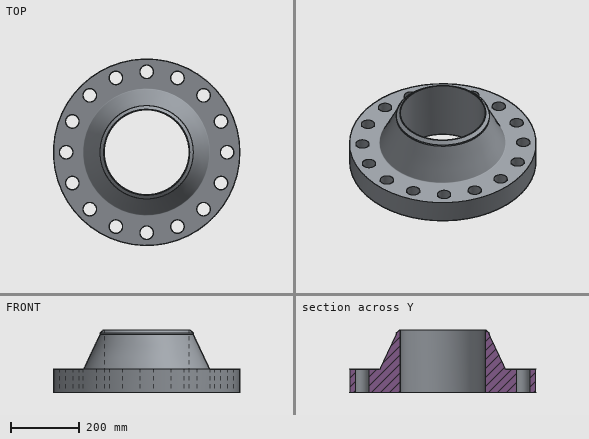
import cadquery as cq

flange_diameter = 546.0
flange_thickness = 69.5
overall_height = 184.0

bore_diameter = 248.0
neck_diameter = 273.0
neck_face_diameter = 252.0
bevel_height = 9.0
neck_band_height = 5.0

cone_base_diameter = 368.5
cone_foot_radius = 3.0

bolt_count = 16
bolt_circle_diameter = 470.5
bolt_hole_diameter = 39.0


def flange_body():
    """Revolve the half section of plate, cone, neck and bore about Z."""
    band_top = overall_height - bevel_height
    band_bottom = band_top - neck_band_height
    half_section = [
        (bore_diameter / 2, 0),
        (flange_diameter / 2, 0),
        (flange_diameter / 2, flange_thickness),
        (cone_base_diameter / 2, flange_thickness),
        (neck_diameter / 2, band_bottom),
        (neck_diameter / 2, band_top),
        (neck_face_diameter / 2, overall_height),
        (bore_diameter / 2, overall_height),
    ]
    return cq.Workplane("XZ").polyline(half_section).close().revolve(360, (0, 0), (0, 1))


def round_cone_foot(body):
    """Fillet the inner corner where the cone meets the plate."""
    plate_top = body.faces("+Z").faces("<Z")
    return plate_top.edges("%CIRCLE").edges(cq.selectors.RadiusNthSelector(0)).fillet(cone_foot_radius)


def bolt_holes():
    """Through cutters for the bolts, the first one on the +X axis."""
    return (
        cq.Workplane("XY")
        .polarArray(bolt_circle_diameter / 2, 0, 360, bolt_count)
        .circle(bolt_hole_diameter / 2)
        .extrude(flange_thickness)
    )


result = round_cone_foot(flange_body()).cut(bolt_holes())